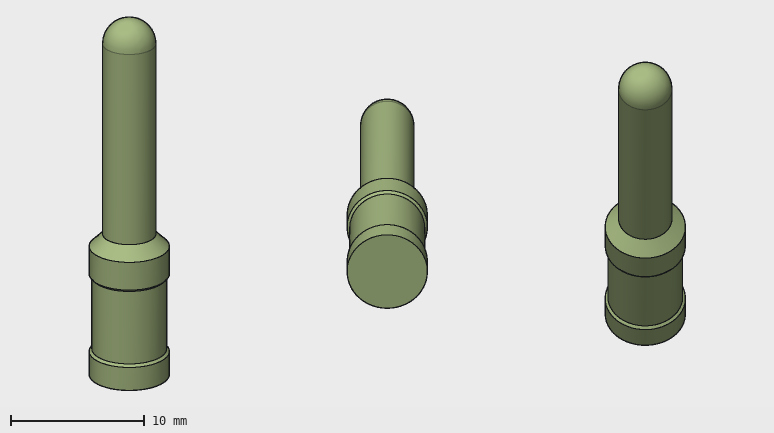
import cadquery as cq

total_height = 29.0
collar_diameter = 6.0
pin_diameter = 4.0
edge_chamfer = 0.2

collar_radius = collar_diameter / 2
pin_radius = pin_diameter / 2
neck_radius = collar_radius - edge_chamfer

neck_bottom = 2.1
neck_top = 8.0
collar_top = 10.47
shoulder_top = collar_top + collar_radius - pin_radius
dome_start = total_height - pin_radius

dome_offset = pin_radius * 0.5**0.5
dome_middle = (dome_offset, dome_start + dome_offset)
profile = (
    cq.Workplane("XZ")
    .lineTo(collar_radius, 0)
    .lineTo(collar_radius, neck_bottom - edge_chamfer)
    .lineTo(neck_radius, neck_bottom)
    .lineTo(neck_radius, neck_top)
    .lineTo(collar_radius, neck_top + edge_chamfer)
    .lineTo(collar_radius, collar_top)
    .lineTo(pin_radius, shoulder_top)
    .lineTo(pin_radius, dome_start)
    .threePointArc(dome_middle, (0, total_height))
    .close()
)

result = profile.revolve(360, (0, 0, 0), (0, 1, 0))